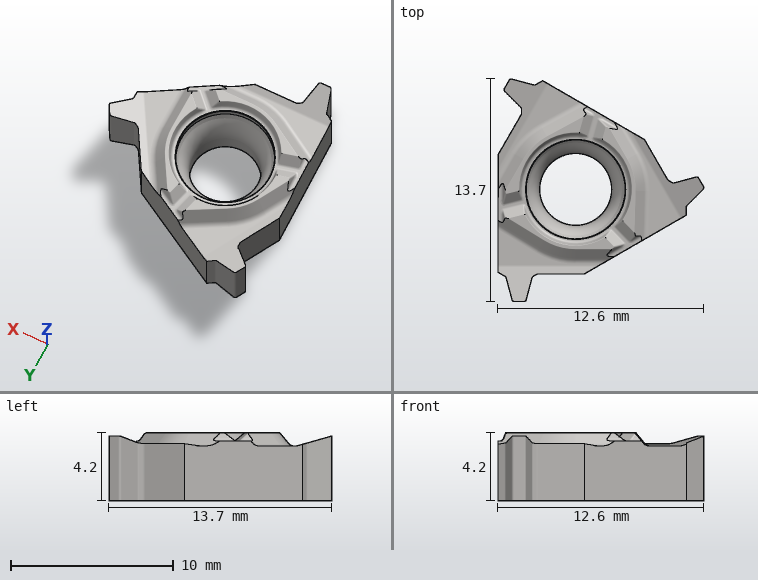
import cadquery as cq
import math

ARM_PITCH = 120
ARM_ANGLES = (0, ARM_PITCH, 2 * ARM_PITCH)

TOTAL_HEIGHT = 4.2
LAND_HEIGHT = 3.38
LEDGE_HEIGHT = 3.69
TIP_HEIGHT = 3.99

SIDE_OFFSET = 4.77
ARM_OFFSET = 5.2
TIP_OFFSET = 6.89
ARM_END_X = 0.53
TOOTH_X = -3.47
TIP_HALF_WIDTH = 0.41
FLANK_ANGLE = 15
ROOT_OFFSET = 5.37
SHOULDER_ANGLE = 30
TIP_RADIUS = 0.15
ROOT_RADIUS = 0.16
SHOULDER_RADIUS = 0.27

BEND_OFFSET = 4.72
BEND_RADIUS = 0.48

COLLAR_ARC_START = 238.5
COLLAR_ARC_END = 270
COLLAR_TOP_OFFSET = 3.69
COLLAR_WALL_ANGLE = 50
COLLAR_FOOT_RADIUS = 0.42

BORE_DIAMETER = 4.4
SEAT_BOTTOM_HEIGHT = 1.34
SEAT_TOP_HEIGHT = 2.94
SEAT_TOP_RADIUS = 2.86
THROAT_RADIUS = 3.03
THROAT_HEIGHT = 3.23
RIM_RADIUS = 3.46
LEDGE_OUTER_RADIUS = 3.28

NOTCH_ANGLE = 194
NOTCH_MOUTH_RADIUS = 0.11
NOTCH_CORNER_SPREAD = 20
NOTCH_FLOOR_HALF_WIDTH = 0.14
NOTCH_WALL_ANGLE = 40
NOTCH_INNER_RADIUS = 2.46
NOTCH_LENGTH = 4.1

RELIEF_DEPTH = 0.29
RELIEF_WALL_ANGLE = 70
RELIEF_LENGTH = 3.83
RELIEF_CENTER_Y = -0.82

FLOOR_RADIUS = 0.22

EDGE_RADIUS = 0.04

MARGIN = 0.68
BLANK_SIZE = 21.87

LEVEL_TOLERANCE = 0.01


def tan(angle):
    """Tangent of an angle in degrees."""
    return math.tan(math.radians(angle))


def turn(point, angle):
    """Turn an XY point about the origin."""
    x, y = point
    c = math.cos(math.radians(angle))
    s = math.sin(math.radians(angle))
    return (x * c - y * s, x * s + y * c)


def polar(radius, angle):
    """XY point at a radius and a direction from the origin."""
    return turn((radius, 0), angle)


def turned_copies(body):
    """Fuse one copy of the body per arm."""
    copies = cq.Workplane("XY")
    for angle in ARM_ANGLES:
        copies = copies.union(body.rotate((0, 0, 0), (0, 0, 1), angle))
    return copies


def outline_prism():
    """Full-height prism of the outline, with its tooth corners rounded."""
    root_half_width = TIP_HALF_WIDTH + (TIP_OFFSET - ROOT_OFFSET) * tan(FLANK_ANGLE)
    left_root = (TOOTH_X - root_half_width, -ROOT_OFFSET)
    right_root = (TOOTH_X + root_half_width, -ROOT_OFFSET)
    left_tip = (TOOTH_X - TIP_HALF_WIDTH, -TIP_OFFSET)
    right_tip = (TOOTH_X + TIP_HALF_WIDTH, -TIP_OFFSET)
    side_rise = (left_root[0] + SIDE_OFFSET) * tan(SHOULDER_ANGLE)
    side_corner = (-SIDE_OFFSET, -ROOT_OFFSET + side_rise)
    shoulder_run = (ROOT_OFFSET - ARM_OFFSET) / tan(SHOULDER_ANGLE)
    shoulder = (right_root[0] + shoulder_run, -ARM_OFFSET)
    arm_end = (ARM_END_X, -ARM_OFFSET)

    arm = [side_corner, left_root, left_tip, right_tip, right_root, shoulder, arm_end]
    points = [turn(p, angle) for angle in ARM_ANGLES for p in arm]
    prism = cq.Workplane("XY").polyline(points).close().extrude(TOTAL_HEIGHT)

    rounds = (
        (left_root, ROOT_RADIUS),
        (left_tip, TIP_RADIUS),
        (right_tip, TIP_RADIUS),
        (right_root, ROOT_RADIUS),
        (shoulder, SHOULDER_RADIUS),
    )
    for corner, radius in rounds:
        for angle in ARM_ANGLES:
            place = turn(corner, angle) + (TOTAL_HEIGHT / 2,)
            prism = prism.edges(cq.selectors.NearestToPointSelector(place)).fillet(radius)
    return prism


def collared_blank():
    """Oversize flat blank at land height with the sloped, filleted collar on top."""
    collar_height = TOTAL_HEIGHT - LAND_HEIGHT
    foot = COLLAR_TOP_OFFSET + collar_height / tan(COLLAR_WALL_ANGLE)

    half_turn = (ARM_PITCH + COLLAR_ARC_START - COLLAR_ARC_END) / 2
    corner_radius = foot / math.cos(math.radians(half_turn))
    wire = cq.Workplane("XY", origin=(0, 0, LAND_HEIGHT)).moveTo(*polar(foot, COLLAR_ARC_START))
    for angle in ARM_ANGLES:
        start = COLLAR_ARC_START + angle
        end = COLLAR_ARC_END + angle
        wire = wire.threePointArc(polar(foot, (start + end) / 2), polar(foot, end))
        wire = wire.lineTo(*polar(corner_radius, end + half_turn))
        wire = wire.lineTo(*polar(foot, start + ARM_PITCH))
    collar = wire.close().extrude(collar_height, taper=90 - COLLAR_WALL_ANGLE)

    blank = cq.Workplane("XY").rect(BLANK_SIZE, BLANK_SIZE).extrude(LAND_HEIGHT).union(collar)
    reach = BLANK_SIZE / 2 - MARGIN
    foot_edges = cq.selectors.BoxSelector(
        (-reach, -reach, LAND_HEIGHT - LEVEL_TOLERANCE),
        (reach, reach, LAND_HEIGHT + LEVEL_TOLERANCE),
    )
    return blank.edges(foot_edges).fillet(COLLAR_FOOT_RADIUS)


def tooth_ramp():
    """Wedge above the land that climbs towards the -Y tooth tip, blended at its start."""
    slope = math.atan2(TIP_HEIGHT - LAND_HEIGHT, TIP_OFFSET - BEND_OFFSET)
    blend = BEND_RADIUS * math.tan(slope / 2)
    end_offset = TIP_OFFSET + MARGIN
    end_height = LAND_HEIGHT + (end_offset - BEND_OFFSET) * math.tan(slope)
    bend_end = (-BEND_OFFSET - blend * math.cos(slope), LAND_HEIGHT + blend * math.sin(slope))
    return (
        cq.Workplane("YZ")
        .moveTo(MARGIN - BEND_OFFSET, LAND_HEIGHT - MARGIN)
        .lineTo(MARGIN - BEND_OFFSET, LAND_HEIGHT)
        .lineTo(blend - BEND_OFFSET, LAND_HEIGHT)
        .tangentArcPoint(bend_end, relative=False)
        .lineTo(-end_offset, end_height)
        .lineTo(-end_offset, LAND_HEIGHT - MARGIN)
        .close()
        .extrude(BLANK_SIZE / 2, both=True)
    )


def bore_and_seat():
    """Revolved cavity: through bore, curved screw seat, throat, ledge and flared rim."""
    bore_radius = BORE_DIAMETER / 2
    flare = (RIM_RADIUS - LEDGE_OUTER_RADIUS) / (TOTAL_HEIGHT - LEDGE_HEIGHT)
    top_radius = RIM_RADIUS + MARGIN * flare
    profile = (
        cq.Workplane("XZ")
        .moveTo(0, 0)
        .lineTo(bore_radius, 0)
        .lineTo(bore_radius, SEAT_BOTTOM_HEIGHT)
        .tangentArcPoint((SEAT_TOP_RADIUS, SEAT_TOP_HEIGHT), relative=False)
        .lineTo(THROAT_RADIUS, THROAT_HEIGHT)
        .lineTo(THROAT_RADIUS, LEDGE_HEIGHT - EDGE_RADIUS)
        .lineTo(THROAT_RADIUS + EDGE_RADIUS, LEDGE_HEIGHT)
        .lineTo(LEDGE_OUTER_RADIUS, LEDGE_HEIGHT)
        .lineTo(top_radius, TOTAL_HEIGHT + MARGIN)
        .lineTo(0, TOTAL_HEIGHT + MARGIN)
        .close()
    )
    return profile.revolve(360, (0, 0, 0), (0, 1, 0))


def notch():
    """Radial channel with a flat floor and sloped walls, open to the bore and one side."""
    depth = TOTAL_HEIGHT + MARGIN - LEDGE_HEIGHT
    top_half_width = NOTCH_FLOOR_HALF_WIDTH + depth / tan(NOTCH_WALL_ANGLE)
    channel = (
        cq.Workplane("YZ", origin=(NOTCH_INNER_RADIUS, 0, LEDGE_HEIGHT))
        .moveTo(-NOTCH_FLOOR_HALF_WIDTH, 0)
        .lineTo(NOTCH_FLOOR_HALF_WIDTH, 0)
        .lineTo(top_half_width, depth)
        .lineTo(-top_half_width, depth)
        .close()
        .extrude(NOTCH_LENGTH)
    )
    return channel.rotate((0, 0, 0), (0, 0, 1), NOTCH_ANGLE)


def side_relief():
    """Strip cut along the -X side: flat at ledge height, with a steep wall up to the collar top."""
    depth = TOTAL_HEIGHT + MARGIN - LEDGE_HEIGHT
    wall_foot = RELIEF_DEPTH - SIDE_OFFSET
    return (
        cq.Workplane("XZ", origin=(0, RELIEF_CENTER_Y, LEDGE_HEIGHT))
        .moveTo(-SIDE_OFFSET - MARGIN, 0)
        .lineTo(wall_foot, 0)
        .lineTo(wall_foot + depth / tan(RELIEF_WALL_ANGLE), depth)
        .lineTo(-SIDE_OFFSET - MARGIN, depth)
        .close()
        .extrude(RELIEF_LENGTH / 2, both=True)
    )


def is_notch_corner(edge):
    """True for the edges where the notch walls run into the bore rim or the side relief."""
    middle = edge.Center()
    box = edge.BoundingBox()
    direction = math.degrees(math.atan2(middle.y, middle.x))
    from_notch = (direction - NOTCH_ANGLE + ARM_PITCH / 2) % ARM_PITCH - ARM_PITCH / 2
    rises = box.zmin < LEDGE_HEIGHT + LEVEL_TOLERANCE and box.zmax > TOTAL_HEIGHT
    inside = math.hypot(middle.x, middle.y) < SIDE_OFFSET
    return rises and inside and abs(from_notch) < NOTCH_CORNER_SPREAD


def is_floor_edge(edge):
    """True for the edges at the foot of the walls that stand around the ledge-height floor."""
    middle = edge.positionAt(0.5)
    box = edge.BoundingBox()
    starts_level = abs(box.zmin - LEDGE_HEIGHT) < LEVEL_TOLERANCE
    ends_level = abs(box.zmax - LEDGE_HEIGHT) < LEVEL_TOLERANCE
    outside_throat = math.hypot(middle.x, middle.y) > THROAT_RADIUS + 2 * EDGE_RADIUS
    return starts_level and ends_level and outside_throat


def top_cavity():
    """Bore, notches and reliefs as one cavity with rounded wall corners and blended floors."""
    cavity = bore_and_seat().union(turned_copies(notch())).union(turned_copies(side_relief()))
    cavity = cavity.edges().filter(is_notch_corner).fillet(NOTCH_MOUTH_RADIUS)
    return cavity.edges().filter(is_floor_edge).fillet(FLOOR_RADIUS)


blank = collared_blank().union(turned_copies(tooth_ramp()))
insert = outline_prism().intersect(blank).cut(top_cavity())
result = insert.faces(">Z").edges().fillet(EDGE_RADIUS)